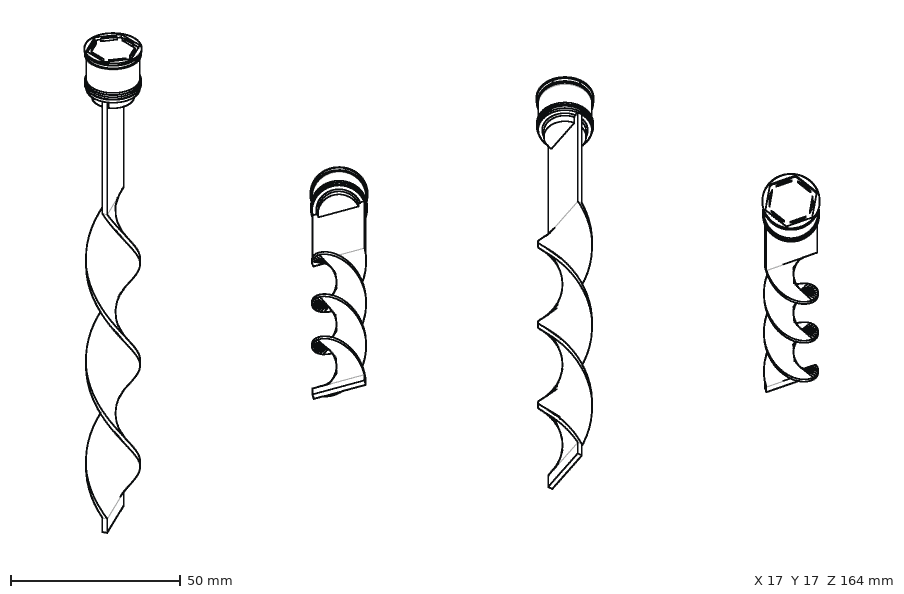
import cadquery as cq
import math

STRIP_WIDTH = 16.0
STRIP_THICKNESS = 1.5
STRIP_LENGTH = 150.0
UPPER_STRAIGHT = 39.0
LOWER_STRAIGHT = 5.0
TWIST_ANGLE = -540.0

CAP_RADIUS = 7.95
CAP_HEIGHT = 14.0
RIM_RADIUS = 8.5
RIM_THICKNESS = 0.6

RIB_HEIGHT = 0.4
BARB_DEPTH = 2.1
BARB_LEAD = 0.07
RIB_DEPTHS = (11.05, 12.55)
RIB_UPPER_FLANK = 0.45
RIB_LOWER_FLANKS = (0.33, 0.5)

RECESS_FLATS = 14.0
RECESS_DEPTH = 1.0
SEGMENT_RADIUS = 6.5
SEGMENT_FLATS = 12.0
SEGMENT_HEIGHT = 0.9

PLUG_RADIUS = 6.25
PLUG_PROJECTION = 3.0
PLUG_CHAMFER = 0.5
PLUG_SEAT_DEPTH = 3.0

CAP_BOTTOM = STRIP_LENGTH
CAP_TOP = CAP_BOTTOM + CAP_HEIGHT
RIB_RADIUS = CAP_RADIUS + RIB_HEIGHT
PLUG_SEAT_RADIUS = PLUG_RADIUS + PLUG_CHAMFER
TWIST_LENGTH = STRIP_LENGTH - UPPER_STRAIGHT - LOWER_STRAIGHT


def cylinder(radius, bottom, height):
    return cq.Workplane("XY").workplane(offset=bottom).circle(radius).extrude(height)


def hexagon(flats, bottom, height):
    """Hexagonal prism with two of its flats facing +X and -X."""
    corner_diameter = flats / math.cos(math.radians(30))
    prism = cq.Workplane("XY").workplane(offset=bottom).polygon(6, corner_diameter).extrude(height)
    return prism.rotate((0, 0, 0), (0, 0, 1), 30)


def strip_section(bottom):
    return cq.Workplane("XY").workplane(offset=bottom).rect(STRIP_THICKNESS, STRIP_WIDTH)


def make_strip():
    """Flat strip with a twisted middle between two straight ends."""
    twist_top = LOWER_STRAIGHT + TWIST_LENGTH
    lower = strip_section(0).extrude(LOWER_STRAIGHT)
    twisted = strip_section(LOWER_STRAIGHT).twistExtrude(TWIST_LENGTH, TWIST_ANGLE)
    upper = strip_section(twist_top).extrude(UPPER_STRAIGHT)
    return lower.union(twisted).union(upper)


def rib_profile(crest_depth, upper_flank, lower_flank):
    """Corner points of a triangular rib on the cap wall, from top to bottom."""
    crest = CAP_TOP - crest_depth
    return [(CAP_RADIUS, crest + upper_flank), (RIB_RADIUS, crest), (CAP_RADIUS, crest - lower_flank)]


def make_cap_blank():
    """Turned cap: rim with a 45 degree underside, a barb and two sealing ribs."""
    rim_bottom = CAP_TOP - RIM_THICKNESS
    barb_crest = CAP_TOP - BARB_DEPTH
    arc_inset = RIB_HEIGHT * (1 - math.sqrt(0.5))
    upper_outline = [
        (0, CAP_TOP),
        (RIM_RADIUS, CAP_TOP),
        (RIM_RADIUS, rim_bottom),
        (CAP_RADIUS, rim_bottom - (RIM_RADIUS - CAP_RADIUS)),
        (CAP_RADIUS, barb_crest + BARB_LEAD),
        (RIB_RADIUS, barb_crest),
    ]
    lower_outline = [(CAP_RADIUS, barb_crest - RIB_HEIGHT)]
    for depth, lower_flank in zip(RIB_DEPTHS, RIB_LOWER_FLANKS):
        lower_outline += rib_profile(depth, RIB_UPPER_FLANK, lower_flank)
    lower_outline += [(CAP_RADIUS, CAP_BOTTOM), (0, CAP_BOTTOM)]
    outline = (
        cq.Workplane("XZ")
        .polyline(upper_outline)
        .threePointArc((CAP_RADIUS + arc_inset, barb_crest - arc_inset), lower_outline[0])
        .polyline(lower_outline)
        .close()
    )
    return outline.revolve(360, (0, 0, 0), (0, 1, 0))


def make_segments():
    """Six thin bosses on the recess floor: what a disc keeps outside a hexagon."""
    floor = CAP_TOP - RECESS_DEPTH
    disc = cylinder(SEGMENT_RADIUS, floor, SEGMENT_HEIGHT)
    return disc.cut(hexagon(SEGMENT_FLATS, floor, SEGMENT_HEIGHT))


def make_cap():
    recess = hexagon(RECESS_FLATS, CAP_TOP - RECESS_DEPTH, RECESS_DEPTH).cut(make_segments())
    seat = cylinder(PLUG_SEAT_RADIUS, CAP_BOTTOM, PLUG_SEAT_DEPTH)
    return make_cap_blank().cut(recess).cut(seat)


def make_plug():
    """Stepped plug seated in the cap, slotted across its lower end for the strip."""
    seated = cylinder(PLUG_SEAT_RADIUS, CAP_BOTTOM - PLUG_CHAMFER, PLUG_SEAT_DEPTH + PLUG_CHAMFER)
    seated = seated.faces("<Z").chamfer(PLUG_CHAMFER)
    nose = cylinder(PLUG_RADIUS, CAP_BOTTOM - PLUG_PROJECTION, PLUG_PROJECTION)
    slot = strip_section(CAP_BOTTOM - PLUG_PROJECTION).extrude(PLUG_PROJECTION)
    return seated.union(nose).cut(slot)


strip = make_strip().solids()
cap = make_cap().solids()
plug = make_plug().solids()

result = cq.Compound.makeCompound([strip.val(), cap.val(), plug.val()])